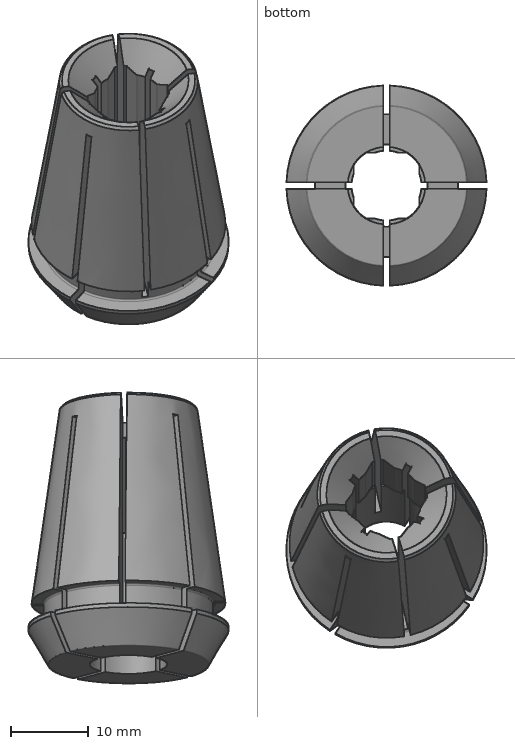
import cadquery as cq
import math

length = 34.0
flange_radius = 12.92
flange_top = 5.0
flange_edge = 4.45
nose_angle = 30.0
groove_radius = 10.95
groove_top = 8.1
groove_fillet = 0.25
taper_base_radius = 12.5
taper_angle = 8.0
top_chamfer_height = 0.35
top_chamfer_inset = 0.35
nose_fillet = 0.1

shank_radius = 5.0
socket_floor = 18.7
socket_width = 8.43
socket_corner_radius = 5.27
relief_radius = 4.5
mouth_radius = 7.75
mouth_angle = 44.5

slit_width = 0.8
lower_slit_end = 31.5
upper_slit_end = 5.45
slit_span = 3 * flange_radius


def taper_run(height, angle):
    """Change in radius of a taper over the given height."""
    return height * math.tan(math.radians(angle))


def make_body():
    nose_radius = flange_radius - taper_run(flange_edge, nose_angle)
    taper_height = length - top_chamfer_height - groove_top
    chamfer_radius = taper_base_radius - taper_run(taper_height, taper_angle)
    body = (
        cq.Workplane("XZ")
        .moveTo(0, 0)
        .lineTo(nose_radius, 0)
        .lineTo(flange_radius, flange_edge)
        .lineTo(flange_radius, flange_top)
        .lineTo(groove_radius, flange_top)
        .lineTo(groove_radius, groove_top)
        .lineTo(taper_base_radius, groove_top)
        .lineTo(chamfer_radius, length - top_chamfer_height)
        .lineTo(chamfer_radius - top_chamfer_inset, length)
        .lineTo(0, length)
        .close()
        .revolve(360, (0, 0, 0), (0, 1, 0))
    )
    margin = groove_fillet
    groove_zone = cq.selectors.BoxSelector(
        (-groove_radius - margin, -groove_radius - margin, flange_top - margin),
        (groove_radius + margin, groove_radius + margin, groove_top + margin),
        boundingbox=True,
    )
    body = body.edges(groove_zone).edges("%CIRCLE").fillet(groove_fillet)
    body = body.faces("<Z").edges().fillet(nose_fillet)
    return body


def make_bore():
    shank = cq.Workplane("XY").circle(shank_radius).extrude(socket_floor)

    socket_plane = cq.Workplane("XY").workplane(offset=socket_floor)
    socket_depth = length - socket_floor
    square = socket_plane.rect(socket_width, socket_width).extrude(socket_depth)
    corner_limit = socket_plane.circle(socket_corner_radius).extrude(socket_depth)
    relief = socket_plane.circle(relief_radius).extrude(socket_depth)

    mouth_depth = mouth_radius / math.tan(math.radians(mouth_angle))
    mouth = (
        cq.Workplane("XZ")
        .moveTo(0, length - mouth_depth)
        .lineTo(mouth_radius, length)
        .lineTo(0, length)
        .close()
        .revolve(360, (0, 0, 0), (0, 1, 0))
    )
    return shank.union(square.intersect(corner_limit)).union(relief).union(mouth)


def make_slit_cross(bottom, top, first_angle):
    """Two crossed full-width slits between two heights."""
    slit = (
        cq.Workplane("XY")
        .workplane(offset=bottom)
        .rect(slit_span, slit_width)
        .extrude(top - bottom)
    )
    cross = cq.Workplane("XY")
    for angle in (first_angle, first_angle + 90):
        cross = cross.union(slit.rotate((0, 0, 0), (0, 0, 1), angle))
    return cross


result = (
    make_body()
    .cut(make_bore())
    .cut(make_slit_cross(0, lower_slit_end, 0))
    .cut(make_slit_cross(upper_slit_end, length, 45))
)